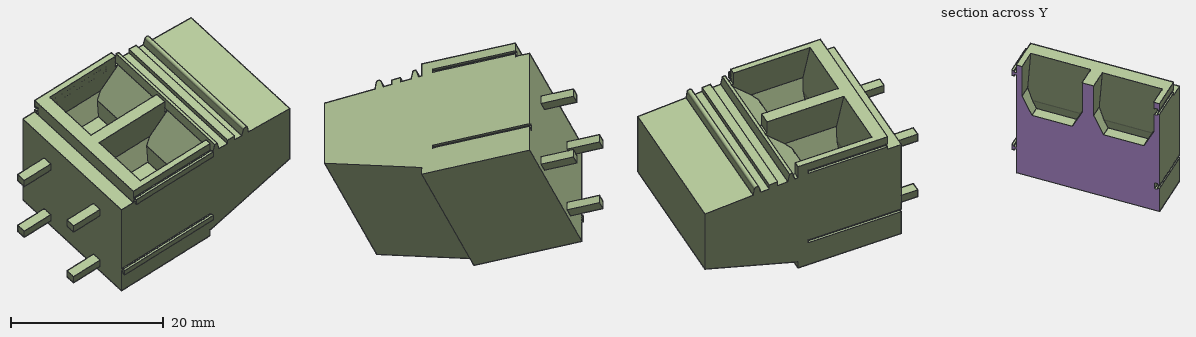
import cadquery as cq
import math


pitch = 10.16
pole_count = 2
body_width = pitch * pole_count

body_depth = 28.5
body_height = 18.48
shoulder_height = 16.23
collar_front = 2.0
collar_rear = 15.0
ramp_angle = 4.0
ramp_rear_height = 15.53
tail_bottom_rear = 5.46
tail_bottom_front = 1.12

rib_front_flank_angle = 74.0
round_rib_rear_flank_angle = 81.0
rib_sink = 0.3
round_rib_center = 20.98
round_rib_radius = 0.36
round_rib_top = 17.33
flat_rib_rear = 19.17
flat_rib_front = 17.95
flat_rib_height = 0.71
tapered_rib_rear = 16.48
tapered_rib_front = 15.44
tapered_rib_top_rear = 16.22
tapered_rib_top_front = 15.8
tapered_rib_height = 1.24

pocket_width = 8.5
pocket_front = 3.88
pocket_floor_height = 10.6
floor_size = 5.7
floor_front = 5.28
side_flare_angle = 63.8
front_flare_angle = 78.2
rear_flare_angle = 73.5
funnel_angle = 45.0
cut_clearance = 1.0

pin_length = 4.5
pin_width = 1.35
pin_thickness = 1.25
lower_pin_height = 1.59

rail_neck_length = 0.33
rail_head_length = 0.33
groove_rear = 13.5
upper_rail = {"height": 16.91, "neck": 0.52, "head": 0.98, "front": collar_front}
lower_rail = {"height": 4.22, "neck": 0.44, "head": 0.88, "front": 0.0}


def rise(run, angle):
    """Height gained over a horizontal run on a face tilted by angle."""
    return run * math.tan(math.radians(angle))


def ramp_height(y):
    return ramp_rear_height + rise(body_depth - y, ramp_angle)


def extrude_across(points, width, center_x):
    """Extrude a closed YZ outline along X, centred on center_x."""
    profile = cq.Workplane("YZ").polyline(points).close()
    return profile.extrude(width / 2, both=True).translate((center_x, 0, 0))


def make_body():
    outline = [
        (0, 0),
        (collar_rear, 0),
        (collar_rear, tail_bottom_front),
        (body_depth, tail_bottom_rear),
        (body_depth, ramp_rear_height),
        (collar_rear, ramp_height(collar_rear)),
        (collar_rear, body_height),
        (collar_front, body_height),
        (collar_front, shoulder_height),
        (0, shoulder_height),
    ]
    return extrude_across(outline, body_width, 0)


def make_round_rib():
    """Rib with two sloping flanks that run tangentially into a round crest."""
    rear_flank = math.radians(round_rib_rear_flank_angle)
    front_flank = math.radians(rib_front_flank_angle)
    center_z = round_rib_top - round_rib_radius
    rear_y = round_rib_center + round_rib_radius * math.sin(rear_flank)
    rear_z = center_z + round_rib_radius * math.cos(rear_flank)
    front_y = round_rib_center - round_rib_radius * math.sin(front_flank)
    front_z = center_z + round_rib_radius * math.cos(front_flank)
    root_z = ramp_height(rear_y) - rib_sink
    rear_root_y = rear_y + (rear_z - root_z) / math.tan(rear_flank)
    front_root_y = front_y - (front_z - root_z) / math.tan(front_flank)
    profile = (
        cq.Workplane("YZ")
        .moveTo(rear_root_y, root_z)
        .lineTo(rear_y, rear_z)
        .threePointArc((round_rib_center, round_rib_top), (front_y, front_z))
        .lineTo(front_root_y, root_z)
        .close()
    )
    return profile.extrude(body_width / 2, both=True)


def make_straight_rib(rear, top_rear, top_front, front, height):
    """Flat-topped rib whose crest runs parallel to the ramp."""
    outline = [
        (rear, ramp_height(rear) - rib_sink),
        (rear, ramp_height(rear)),
        (top_rear, ramp_height(top_rear) + height),
        (top_front, ramp_height(top_front) + height),
        (front, ramp_height(front)),
        (front, ramp_height(front) - rib_sink),
    ]
    return extrude_across(outline, body_width, 0)


def make_ribs():
    flat_rib = make_straight_rib(
        flat_rib_rear, flat_rib_rear, flat_rib_front, flat_rib_front, flat_rib_height
    )
    tapered_rib = make_straight_rib(
        tapered_rib_rear,
        tapered_rib_top_rear,
        tapered_rib_top_front,
        tapered_rib_front,
        tapered_rib_height,
    )
    return make_round_rib().union(flat_rib).union(tapered_rib)


def make_pocket(center_x):
    """Wire-entry funnel: a YZ profile limited sideways by an XZ profile."""
    funnel_rear = tapered_rib_front
    funnel_top = ramp_height(funnel_rear)
    floor_rear = floor_front + floor_size
    steep = math.tan(math.radians(rear_flare_angle))
    shallow = math.tan(math.radians(funnel_angle))
    funnel_fall = funnel_top - pocket_floor_height - shallow * (funnel_rear - floor_rear)
    bend_y = floor_rear + funnel_fall / (steep - shallow)
    bend_z = pocket_floor_height + steep * (bend_y - floor_rear)
    front_bend_z = body_height - rise(floor_front - pocket_front, front_flare_angle)
    open_top = body_height + cut_clearance
    lengthwise = [
        (floor_front, pocket_floor_height),
        (floor_rear, pocket_floor_height),
        (bend_y, bend_z),
        (funnel_rear, funnel_top),
        (funnel_rear, open_top),
        (pocket_front, open_top),
        (pocket_front, body_height),
        (floor_front, front_bend_z),
    ]
    half_width = pocket_width / 2
    half_floor = floor_size / 2
    side_bend_z = pocket_floor_height + rise(half_width - half_floor, side_flare_angle)
    crosswise = [
        (center_x - half_floor, pocket_floor_height),
        (center_x + half_floor, pocket_floor_height),
        (center_x + half_width, side_bend_z),
        (center_x + half_width, open_top),
        (center_x - half_width, open_top),
        (center_x - half_width, side_bend_z),
    ]
    cross_prism = cq.Workplane("XZ").polyline(crosswise).close().extrude(-body_depth)
    return extrude_across(lengthwise, pocket_width, center_x).intersect(cross_prism)


def make_pin(center_x, center_z):
    pin = cq.Workplane("XZ").rect(pin_width, pin_thickness).extrude(pin_length)
    return pin.translate((center_x, 0, center_z))


def make_rail(rail, base_x, rear):
    """T-section bar standing on the plane X = base_x and pointing to +X."""
    length = rear - rail["front"]
    middle_y = (rear + rail["front"]) / 2
    reach = rail_neck_length + rail_head_length
    neck = cq.Workplane("XY").box(reach, length, rail["neck"]).translate((reach / 2, 0, 0))
    head = cq.Workplane("XY").box(rail_head_length, length, rail["head"])
    head = head.translate((rail_neck_length + rail_head_length / 2, 0, 0))
    return neck.union(head).translate((base_x, middle_y, rail["height"]))


pole_centers = [(pole - (pole_count - 1) / 2) * pitch for pole in range(pole_count)]

result = make_body().union(make_ribs())
for pole_x in pole_centers:
    result = result.cut(make_pocket(pole_x))
    for pin_z in (lower_pin_height, lower_pin_height + pitch):
        result = result.union(make_pin(pole_x, pin_z))
for rail in (upper_rail, lower_rail):
    result = result.union(make_rail(rail, body_width / 2, collar_rear))
    result = result.cut(make_rail(rail, -body_width / 2, groove_rear))